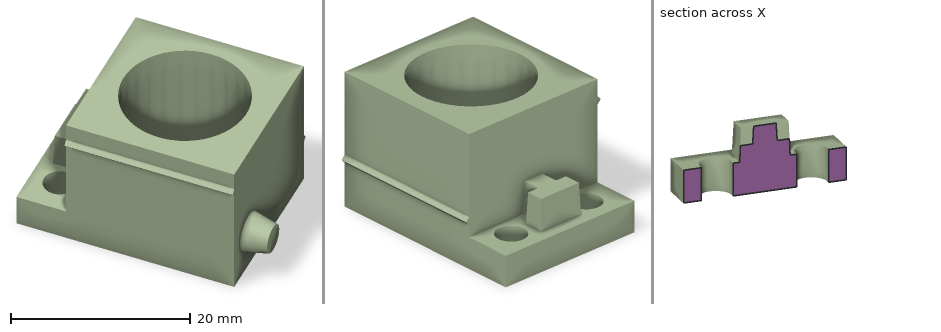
import cadquery as cq
import math

total_length = 29.5
total_height = 17.0
body_width = 19.55

plate_length = 6.05
plate_height = 3.98
peg_length = 2.98
block_end = total_length - peg_length
block_length = block_end - plate_length

bore_x = plate_length + block_length / 2
bore_top_diameter = 14.95
bore_lip_diameter = 15.78
bore_lip_angle = 30.0
bore_bottom_diameter = 13.0

screw_hole_diameter = 3.84
screw_hole_x = 3.5
screw_hole_offset = 5.72

key_start = 1.5
key_head_length = 2.48
key_head_width = 6.1
key_neck_width = 3.07
key_height = 4.07
key_inset = 0.18

peg_y = -screw_hole_offset
peg_z = 5.0
peg_base_diameter = 4.9
peg_tip_diameter = 3.42

ridge_depth = 0.47
ridge_half_height = 0.5
front_ridge_z = 14.3
back_ridge_z = 6.05


def box_from(x_start, length, height):
    """Box of full body width, centred on Y and standing on Z = 0."""
    box = cq.Workplane("XY").box(length, body_width, height, centered=(False, True, False))
    return box.translate((x_start, 0, 0))


def ridge(side, z):
    """Triangular ridge along the block; side is -1 for -Y and +1 for +Y."""
    face_y = side * body_width / 2
    return (
        cq.Workplane("YZ", origin=(plate_length, 0, 0))
        .moveTo(face_y, z - ridge_half_height)
        .lineTo(face_y + side * ridge_depth, z)
        .lineTo(face_y, z + ridge_half_height)
        .close()
        .extrude(block_length)
    )


def t_key():
    """T-shaped key with drafted sides, its neck running into the block."""
    head_half = key_head_width / 2
    neck_half = key_neck_width / 2
    neck_start = key_start + key_head_length
    neck_end = plate_length + key_inset
    draft = math.degrees(math.atan(key_inset / key_height))
    return (
        cq.Workplane("XY", origin=(0, 0, plate_height))
        .polyline([
            (key_start, -head_half),
            (neck_start, -head_half),
            (neck_start, -neck_half),
            (neck_end, -neck_half),
            (neck_end, neck_half),
            (neck_start, neck_half),
            (neck_start, head_half),
            (key_start, head_half),
        ])
        .close()
        .extrude(key_height, taper=draft)
    )


def peg():
    """Truncated cone pointing along +X."""
    return cq.Workplane(cq.Solid.makeCone(
        peg_base_diameter / 2,
        peg_tip_diameter / 2,
        peg_length,
        cq.Vector(block_end, peg_y, peg_z),
        cq.Vector(1, 0, 0),
    ))


def bore():
    """Bore flaring slightly downward, then closing conically to a smaller bottom opening."""
    top_radius = bore_top_diameter / 2
    bottom_radius = bore_bottom_diameter / 2
    lip_radius = bore_lip_diameter / 2
    lip_rise = (lip_radius - bottom_radius) * math.tan(math.radians(bore_lip_angle))
    return (
        cq.Workplane("YZ")
        .polyline([
            (0, 0),
            (bottom_radius, 0),
            (lip_radius, lip_rise),
            (top_radius, total_height),
            (0, total_height),
        ])
        .close()
        .revolve(360, (0, 0), (0, 1))
        .translate((bore_x, 0, 0))
    )


def screw_holes():
    """Pair of through holes in the plate, symmetric about Y = 0."""
    return (
        cq.Workplane("XY")
        .pushPoints([(screw_hole_x, side * screw_hole_offset) for side in (-1, 1)])
        .circle(screw_hole_diameter / 2)
        .extrude(plate_height)
    )


plate = box_from(0, plate_length, plate_height)
block = box_from(plate_length, block_length, total_height)
ridges = ridge(-1, front_ridge_z).union(ridge(1, back_ridge_z))

result = plate.union(block).union(ridges).union(t_key()).union(peg())
result = result.cut(bore()).cut(screw_holes())